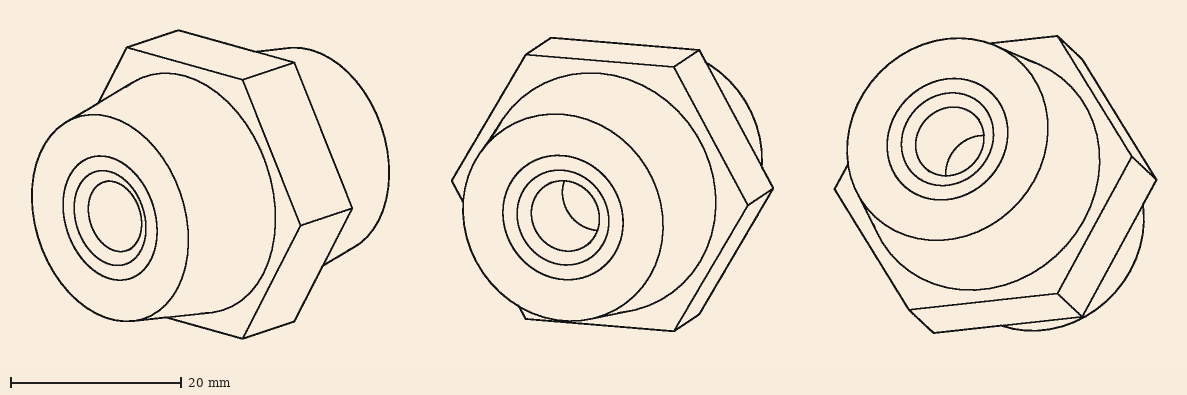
import cadquery as cq
import math

across_corners = 36.95
overall_length = 35.0

collar_width = 9.0
neck_radius = 14.5
end_radius = 12.5

insert_radius = 7.5
insert_length = 14.05
bore_radius = 4.25
bore_depth = 11.82
countersink_radius = 5.73
countersink_angle = 120.0
drill_tip_angle = 150.0

half_length = overall_length / 2
half_collar = collar_width / 2
end_directions = (-1, 1)


def cone_height(radius_change, included_angle):
    """Axial height of a cone whose radius changes by the given amount."""
    return radius_change / math.tan(math.radians(included_angle / 2))


def revolve_about_y(profile):
    """Solid of revolution from a closed outline of (y, radius) points."""
    outline = cq.Workplane("YZ").polyline(profile).close()
    return outline.revolve(360, (0, 0, 0), (1, 0, 0))


def make_insert(direction):
    """Round insert with a countersunk blind hole opening at one end face."""
    end_face = direction * half_length
    inner_face = direction * (half_length - insert_length)
    countersink_depth = cone_height(countersink_radius - bore_radius, countersink_angle)
    tip_depth = bore_depth + cone_height(bore_radius, drill_tip_angle)
    return revolve_about_y([
        (inner_face, 0),
        (inner_face, insert_radius),
        (end_face, insert_radius),
        (end_face, countersink_radius),
        (direction * (half_length - countersink_depth), bore_radius),
        (direction * (half_length - bore_depth), bore_radius),
        (direction * (half_length - tip_depth), 0),
    ])


def make_barrel():
    """Round barrel, cylindrical inside the collar and conical on both sides of it."""
    return revolve_about_y([
        (-half_length, 0),
        (-half_length, end_radius),
        (-half_collar, neck_radius),
        (half_collar, neck_radius),
        (half_length, end_radius),
        (half_length, 0),
    ])


def make_collar():
    """Hexagonal collar with two corners on the X axis."""
    return cq.Workplane("XZ").polygon(6, across_corners).extrude(half_collar, both=True)


def make_insert_pocket(direction):
    """Cylinder that fills the place of one insert."""
    centre_y = direction * (half_length - insert_length / 2)
    section = cq.Workplane("XZ", origin=(0, centre_y, 0)).circle(insert_radius)
    return section.extrude(insert_length / 2, both=True)


def make_insulator():
    """Barrel and collar in one piece, with a pocket fitting each insert."""
    body = make_barrel().union(make_collar())
    for direction in end_directions:
        body = body.cut(make_insert_pocket(direction))
    return body.solids()


insulator = make_insulator()
inserts = [make_insert(direction) for direction in end_directions]

result = cq.Compound.makeCompound([insulator.val(), *[insert.val() for insert in inserts]])